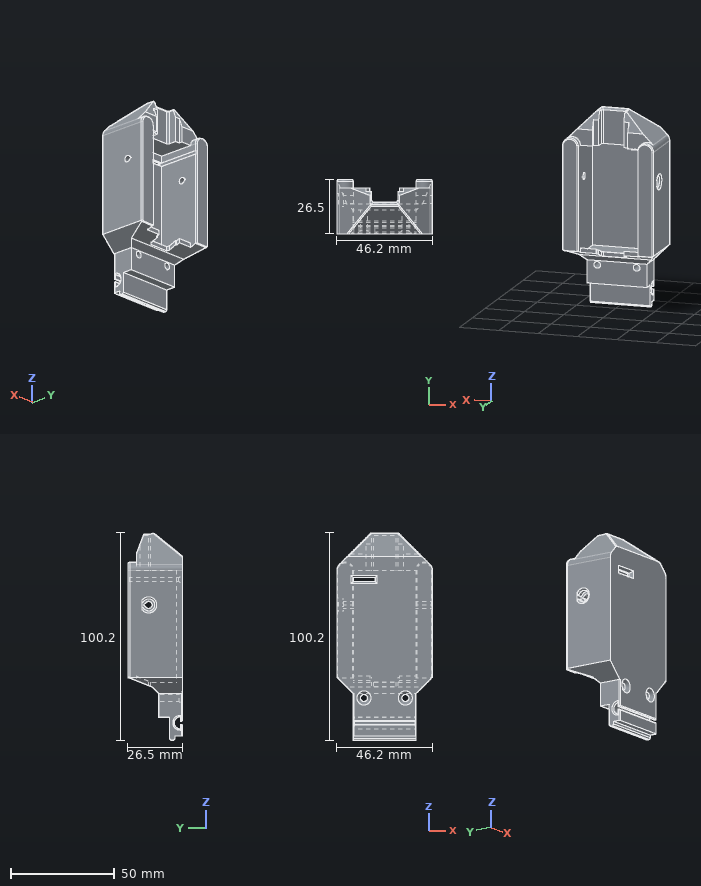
import cadquery as cq
import math

width = 46.2
depth = 26.5
height = 100.18
half_width = width / 2
margin = 1.0
diagonal = math.sqrt(0.5)

neck_width = 30.5
half_neck = neck_width / 2
side_bottom_z = 30.5
neck_top_z = side_bottom_z - (half_width - half_neck)
corner_radius = 4.0
corner_x = half_width - corner_radius
corner_z = 82.2
corner_diagonal = corner_radius * diagonal
tangent_x = corner_x + corner_diagonal
tangent_z = corner_z + corner_diagonal
tip_half_width = tangent_x - (height - tangent_z)

body_back_y = 22.4
rail_inner_x = half_width - 2 * corner_radius
rail_bevel_depth = 1.0
rail_bevel_width = 0.4
underside_knee_y = 14.7
underside_knee_z = 25.75
neck_back_y = underside_knee_y - (underside_knee_z - neck_top_z)

wedge_front_z = 89.0
wedge_front_tip_y = 13.8
wedge_back_z = 90.2
wedge_back_tip_y = 18.6
ridge_bevel = 0.4

channel_floor_y = 15.5
channel_half_width = 6.4
channel_step_y = 20.6
channel_outer_half_width = 7.1
channel_corner = 0.9
mouth_bevel = 1.2
rabbet_half_width = 9.0

front_wall = 3.0
floor_thickness = 2.2
cavity_top_z = corner_z

neck_bottom_z = 11.1
tail_back_y = 6.4
tongue_front_y = 3.6
lip_bottom_z = 2.1
tongue_bevel_width = 0.7
tongue_bevel_height = 0.8
neck_bevel = 0.45
groove_z = 8.5
groove_y = 1.1
groove_radius = 2.9
groove_flare = 0.7
slit_width = 1.4
slit_bevel = 0.45

screw_diameter = 3.3
screw_spacing = 20.0
screw_z = 20.5
screw_head_diameter = 6.8

window_centre_x = -9.93
window_centre_z = 77.75
window_width = 12.5
window_height = 3.8
window_taper = 1.0
window_taper_depth = 2.0

cross_y = 16.4
cross_z = 65.5
cross_diameter = 3.3
cross_head_diameter = 7.8
cross_bore_diameter = 5.8
cross_bore_depth = 3.2
cross_head_bevel = 0.8
cross_head_flat = 3.3


def slab(outline, y_start, y_end):
    """Extrude a closed XZ outline from y_start to y_end."""
    return outline.extrude(-(y_end - y_start)).translate((0, y_start, 0))


def box(x_range, y_range, z_range):
    """Axis-aligned box between the given limits."""
    return cq.Workplane("XY").box(
        x_range[1] - x_range[0],
        y_range[1] - y_range[0],
        z_range[1] - z_range[0],
        centered=False,
    ).translate((x_range[0], y_range[0], z_range[0]))


def side_profile(points, half_length):
    """Extrude a closed YZ polygon symmetrically along X."""
    return cq.Workplane("YZ").polyline(points).close().extrude(half_length, both=True)


def make_body():
    outline = (
        cq.Workplane("XZ")
        .moveTo(-half_neck, neck_top_z)
        .lineTo(half_neck, neck_top_z)
        .lineTo(half_width, side_bottom_z)
        .lineTo(half_width, corner_z)
        .radiusArc((tangent_x, tangent_z), -corner_radius)
        .lineTo(tip_half_width, height)
        .lineTo(-tip_half_width, height)
        .lineTo(-tangent_x, tangent_z)
        .radiusArc((-half_width, corner_z), -corner_radius)
        .lineTo(-half_width, side_bottom_z)
        .close()
    )
    body = slab(outline, 0, body_back_y)
    wedge_front = [(0, wedge_front_z), (wedge_front_tip_y, height), (0, height)]
    wedge_back = [(body_back_y, wedge_back_z), (wedge_back_tip_y, height), (body_back_y, height)]
    body = body.cut(side_profile(wedge_front, half_width)).cut(side_profile(wedge_back, half_width))
    wedge_middle = (0, wedge_front_tip_y / 2, (wedge_front_z + height) / 2)
    wedge_face = body.faces(cq.selectors.NearestToPointSelector(wedge_middle))
    return wedge_face.edges("not <Z").chamfer(ridge_bevel)


def make_rail():
    """Right-hand back rail, round at its top end."""
    rail_bottom_z = side_bottom_z - 2 * corner_radius
    outline = (
        cq.Workplane("XZ")
        .moveTo(rail_inner_x, rail_bottom_z)
        .lineTo(half_width, side_bottom_z)
        .lineTo(half_width, corner_z)
        .threePointArc((corner_x, corner_z + corner_radius), (rail_inner_x, corner_z))
        .close()
    )
    rail = slab(outline, channel_floor_y, depth)
    return rail.faces(">Y").chamfer(rail_bevel_depth, rail_bevel_width)


def make_underside_cut():
    """Slope the lower end of the back down to the neck."""
    points = [
        (depth - rail_bevel_depth, side_bottom_z - rail_bevel_width),
        (underside_knee_y, underside_knee_z),
        (neck_back_y, neck_top_z),
        (neck_back_y, neck_top_z - margin),
        (depth + margin, neck_top_z - margin),
        (depth + margin, side_bottom_z - rail_bevel_width),
    ]
    return side_profile(points, half_width + margin)


def make_cavity():
    """Hollow between the rails, open at the back, with a floor that follows the underside."""
    underside_slope = (side_bottom_z - rail_bevel_width - underside_knee_z) / (
        depth - rail_bevel_depth - underside_knee_y
    )
    floor_z = underside_knee_z + floor_thickness
    points = [
        (front_wall, floor_z),
        (underside_knee_y, floor_z),
        (depth, floor_z + underside_slope * (depth - underside_knee_y)),
        (depth, cavity_top_z),
        (front_wall, cavity_top_z),
    ]
    return side_profile(points, rail_inner_x)


def channel_section(z, growth):
    """Closed channel section at height z, widened on its floor and sides by growth."""
    half = channel_half_width + growth
    floor = channel_floor_y - growth
    points = [
        (-half, depth),
        (-half, floor + channel_corner),
        (-half + channel_corner, floor),
        (half - channel_corner, floor),
        (half, floor + channel_corner),
        (half, depth),
    ]
    return cq.Workplane("XY").workplane(offset=z).polyline(points).close()


def make_channel():
    """Stepped channel along the whole back, with a bevelled mouth and a rabbet through the wedge."""
    channel = channel_section(0, 0).extrude(height)
    outer_step = box(
        (-channel_outer_half_width, channel_outer_half_width), (channel_step_y, depth), (0, height)
    )
    rabbet = box(
        (-rabbet_half_width, rabbet_half_width), (channel_step_y, depth), (cavity_top_z, height)
    )
    mouth_wires = [
        channel_section(height - mouth_bevel, 0).val(),
        channel_section(height, mouth_bevel).val(),
    ]
    mouth = cq.Workplane(cq.Solid.makeLoft(mouth_wires, True))
    return channel.union(outer_step).union(rabbet).union(mouth)


def make_neck():
    points = [
        (0, neck_top_z),
        (0, lip_bottom_z),
        (tongue_front_y, lip_bottom_z),
        (tongue_front_y, tongue_bevel_height),
        (tongue_front_y + tongue_bevel_width, 0),
        (tail_back_y - tongue_bevel_width, 0),
        (tail_back_y, tongue_bevel_height),
        (tail_back_y, neck_bottom_z),
        (neck_back_y, neck_bottom_z),
        (neck_back_y, neck_top_z),
    ]
    neck = side_profile(points, half_neck)
    return neck.faces("<Y").edges("|Z").chamfer(neck_bevel)


def make_tube_groove():
    """Half-round groove along X, flared at both ends, with a slit through its front lip."""
    half_profile = [
        (-half_neck, 0),
        (-half_neck, groove_radius + groove_flare),
        (-half_neck + groove_flare, groove_radius),
        (half_neck - groove_flare, groove_radius),
        (half_neck, groove_radius + groove_flare),
        (half_neck, 0),
    ]
    bore = cq.Workplane("XY").polyline(half_profile).close().revolve(180, (0, 0, 0), (1, 0, 0))
    bore = bore.rotate((0, 0, 0), (1, 0, 0), -90).translate((0, groove_y, groove_z))
    half_slit = slit_width / 2
    slit = side_profile(
        [
            (0, groove_z - half_slit - slit_bevel),
            (slit_bevel, groove_z - half_slit),
            (2 * groove_y, groove_z - half_slit),
            (2 * groove_y, groove_z + half_slit),
            (slit_bevel, groove_z + half_slit),
            (0, groove_z + half_slit + slit_bevel),
        ],
        half_neck,
    )
    return bore.union(slit)


def make_screw_hole(x):
    """Countersunk hole through the neck from the front."""
    head_radius = screw_head_diameter / 2
    screw_radius = screw_diameter / 2
    head_depth = head_radius - screw_radius
    half_profile = [
        (0, 0),
        (head_radius, 0),
        (screw_radius, head_depth),
        (screw_radius, depth),
        (0, depth),
    ]
    hole = cq.Workplane("XY").polyline(half_profile).close().revolve(360, (0, 0, 0), (0, 1, 0))
    return hole.translate((x, 0, screw_z))


def make_window():
    """Slot through the housing with tapered sides at the front."""
    slot_width = window_width - 2 * window_taper
    slot_height = window_height - 2 * window_taper
    funnel = (
        cq.Workplane("XZ")
        .rect(window_width, window_height)
        .workplane(offset=-window_taper_depth)
        .rect(slot_width, slot_height)
        .loft()
    )
    slot = cq.Workplane("XZ").rect(slot_width, slot_height).extrude(-depth)
    return funnel.union(slot).translate((window_centre_x, 0, window_centre_z))


def teardrop(diameter, offset=0):
    """Teardrop section about the X axis, its 90 degree point towards +Y."""
    radius = diameter / 2
    tangent = radius * diagonal
    return (
        cq.Workplane("YZ", origin=(offset, 0, 0))
        .moveTo(tangent, -tangent)
        .lineTo(2 * tangent, 0)
        .lineTo(tangent, tangent)
        .threePointArc((-radius, 0), (tangent, -tangent))
        .close()
    )


def make_cross_hole():
    """Teardrop hole along X with a bevelled, flat-sided head recess on the left side."""
    hole = teardrop(cross_diameter).extrude(width)
    bore = teardrop(cross_bore_diameter).extrude(cross_bore_depth)
    bevel = cq.Workplane(
        cq.Solid.makeLoft(
            [
                teardrop(cross_head_diameter).val(),
                teardrop(cross_bore_diameter, cross_head_bevel).val(),
            ],
            True,
        )
    )
    beyond_flat = box(
        (0, cross_bore_depth),
        (cross_head_flat, cross_head_diameter),
        (-cross_head_diameter, cross_head_diameter),
    )
    recess = bore.union(bevel).cut(beyond_flat)
    return hole.union(recess).translate((-half_width, cross_y, cross_z))


right_rail = make_rail()
left_rail = right_rail.mirror("YZ")
result = make_body().union(right_rail).union(left_rail)
result = result.cut(make_underside_cut())
result = result.cut(make_cavity())
result = result.cut(make_channel())
result = result.union(make_neck())
result = result.cut(make_tube_groove())
for hole_x in (-screw_spacing / 2, screw_spacing / 2):
    result = result.cut(make_screw_hole(hole_x))
result = result.cut(make_window())
result = result.cut(make_cross_hole())